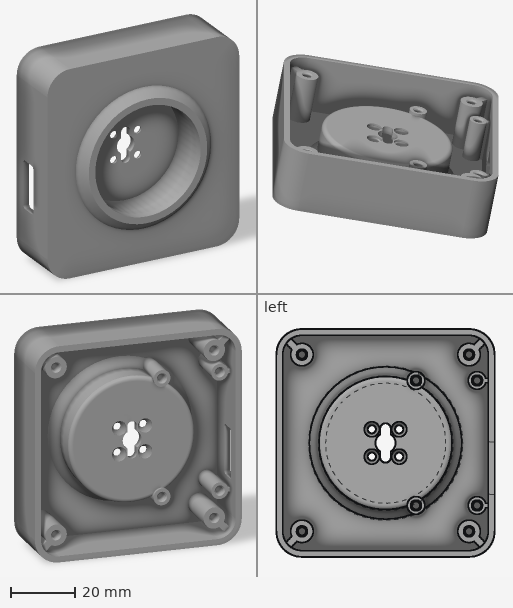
import cadquery as cq

box_depth = 20.0
box_width = 68.0
box_height = 71.0
corner_radius = 8.0
wall = 2.0
floor_x = box_depth - wall

cup_radius = 20.7
cup_wall = 2.0
cup_end_thickness = 2.5
cup_end_x = 6.0
cup_edge_radius = 1.4
flare = 3.0
collar_height = 3.0
collar_base_radius = 24.0
collar_end_radius = collar_base_radius - collar_height
back_x = box_depth + collar_height

screw_spacing = 8.5
screw_diameter = 2.5
screw_head_diameter = 4.7
screw_head_recess = 0.75
slot_width = 3.2
slot_length = 12.2
slot_centre_diameter = 6.2

post_diameter = 7.0
post_end_x = 3.0
post_rib_width = 2.25
post_spacing_y = box_width - 2 * corner_radius
post_spacing_z = box_height - 2 * corner_radius

board_post_diameter = 5.5
board_post_end_x = 5.0
board_rib_width = 1.3
board_post_inner_y = -9.5
board_post_outer_y = -28.5
board_post_z = 19.45

pilot_diameter = 2.5
pilot_mouth_diameter = 3.4
pilot_depth = 10.0

window_x = 7.6
window_z = -7.75
window_width = 6.4
window_height = 16.4
window_corner_radius = 1.0


def yz_plane(x):
    """Workplane at the given X, with local axes along Y and Z, facing +X."""
    return cq.Workplane("YZ", origin=(x, 0, 0))


def cylinder(x_start, x_end, diameter, y=0.0, z=0.0):
    return yz_plane(x_start).center(y, z).circle(diameter / 2).extrude(x_end - x_start)


def cone(x_start, x_end, start_radius, end_radius, y=0.0, z=0.0):
    return cq.Workplane(
        cq.Solid.makeCone(
            start_radius, end_radius, x_end - x_start, cq.Vector(x_start, y, z), cq.Vector(1, 0, 0)
        )
    )


def rounded_block(x_start, x_end, width, height, radius):
    block = yz_plane(x_start).rect(width, height).extrude(x_end - x_start)
    return block.edges("|X").fillet(radius)


def make_cavity():
    return rounded_block(
        0, floor_x, box_width - 2 * wall, box_height - 2 * wall, corner_radius - wall
    )


def make_cup():
    drum = cylinder(cup_end_x, back_x, 2 * cup_radius).faces("<X").edges().fillet(cup_edge_radius)
    inner_flare = cone(floor_x - flare, floor_x, cup_radius, cup_radius + flare)
    collar = cone(box_depth, back_x, collar_base_radius, collar_end_radius)
    return drum.union(inner_flare).union(collar)


def make_cup_bore():
    return cylinder(cup_end_x + cup_end_thickness, back_x, 2 * (cup_radius - cup_wall))


def make_post(y, z, diameter, end_x, rib_width, rib_direction):
    """Post with a rib that runs outwards into the box wall."""
    rib_length = corner_radius
    rib = (
        yz_plane(end_x)
        .center(y, z)
        .transformed(rotate=(0, 0, rib_direction))
        .center(rib_length / 2, 0)
        .rect(rib_length, rib_width)
        .extrude(box_depth - end_x)
    )
    return cylinder(end_x, box_depth, diameter, y, z).union(rib)


def make_pilot_hole(y, z, end_x):
    chamfer = (pilot_mouth_diameter - pilot_diameter) / 2
    mouth = cone(end_x, end_x + chamfer, pilot_mouth_diameter / 2, pilot_diameter / 2, y, z)
    return cylinder(end_x, end_x + pilot_depth, pilot_diameter, y, z).union(mouth)


def make_cup_openings():
    cup_end = yz_plane(cup_end_x)
    openings = cup_end.slot2D(slot_length, slot_width, 90).extrude(cup_end_thickness)
    openings = openings.union(cylinder(cup_end_x, cup_end_x + cup_end_thickness, slot_centre_diameter))
    sink_start_x = cup_end_x + screw_head_recess
    sink_end_x = sink_start_x + (screw_head_diameter - screw_diameter) / 2
    for y in (-screw_spacing / 2, screw_spacing / 2):
        for z in (-screw_spacing / 2, screw_spacing / 2):
            hole = cylinder(cup_end_x, cup_end_x + cup_end_thickness, screw_diameter, y, z)
            recess = cylinder(cup_end_x, sink_start_x, screw_head_diameter, y, z)
            sink = cone(sink_start_x, sink_end_x, screw_head_diameter / 2, screw_diameter / 2, y, z)
            openings = openings.union(hole).union(recess).union(sink)
    return openings


def make_window():
    return (
        cq.Workplane("XZ", origin=(window_x, -box_width / 2 + wall, window_z))
        .rect(window_width, window_height)
        .extrude(wall)
        .edges("|Y")
        .fillet(window_corner_radius)
    )


def add_corner_posts(part, envelope):
    rib_directions = {(1, 1): 45, (-1, 1): 135, (-1, -1): 225, (1, -1): 315}
    for (side_y, side_z), direction in rib_directions.items():
        y = side_y * post_spacing_y / 2
        z = side_z * post_spacing_z / 2
        post = make_post(y, z, post_diameter, post_end_x, post_rib_width, direction)
        part = part.union(post.intersect(envelope))
        part = part.cut(make_pilot_hole(y, z, post_end_x))
    return part


def add_board_posts(part, envelope):
    towards_wall = 180
    for z in (-board_post_z, board_post_z):
        outer_post = make_post(
            board_post_outer_y, z, board_post_diameter, board_post_end_x, board_rib_width, towards_wall
        )
        inner_post = cylinder(board_post_end_x, box_depth, board_post_diameter, board_post_inner_y, z)
        part = part.union(outer_post.intersect(envelope)).union(inner_post)
        for y in (board_post_outer_y, board_post_inner_y):
            part = part.cut(make_pilot_hole(y, z, board_post_end_x))
    return part


box_envelope = rounded_block(0, box_depth, box_width, box_height, corner_radius)
result = box_envelope.cut(make_cavity()).union(make_cup())
result = add_corner_posts(result, box_envelope)
result = add_board_posts(result, box_envelope)
result = result.cut(make_cup_bore()).cut(make_cup_openings()).cut(make_window())